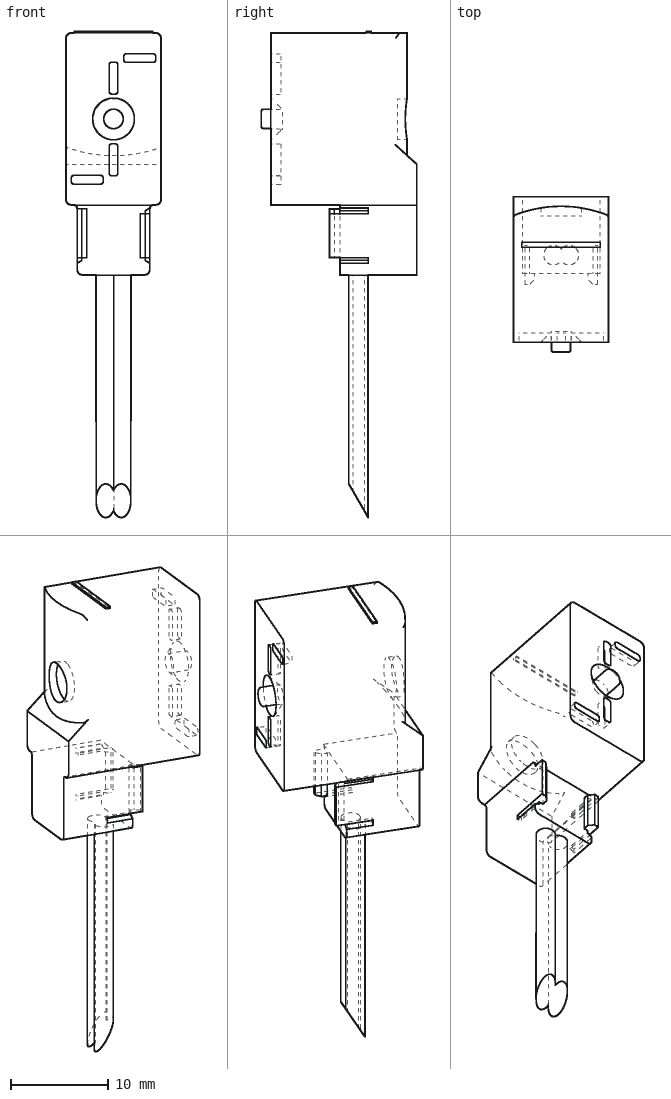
import cadquery as cq
import math


WIDTH = 9.8
DEPTH = 15.0
HEIGHT = 17.7
EDGE_RADIUS = 0.6
BACK_CROWN_Y = 14.0
BACK_DOME_RADIUS = 13.0
DOME_EDGE_RADIUS = 0.4
RAMP_FOOT_Z = -13.5
RAMP_ANGLE = 42.0

RIB_LENGTH = 8.1
RIB_WIDTH = 0.5
RIB_HEIGHT = 0.175
RIB_Y = 10.05

SCREW_Z = -HEIGHT / 2
SCREW_DIAMETER = 2.0
SCREW_TIP_RADIUS = 0.25
SCREW_PROTRUSION = 1.0
SCREW_EMBEDMENT = 2.5
COUNTERSINK_DIAMETER = 4.3
COUNTERSINK_DEPTH = (COUNTERSINK_DIAMETER - SCREW_DIAMETER) / 2
BACK_RECESS_DIAMETER = 4.2
BACK_RECESS_DEPTH = 1.0

SLOT_LENGTH = 3.3
SLOT_WIDTH = 0.9
SLOT_DEPTH = 1.0
SLOT_CORNER_RADIUS = 0.3
UPRIGHT_SLOT_OFFSET = 4.2
LEVEL_SLOT_X = 2.7
LEVEL_SLOT_OFFSET = 6.25

PLUG_WIDTH = 7.5
PLUG_FRONT_Y = 7.1
PLUG_BOTTOM_Z = -24.9
PLUG_EDGE_RADIUS = 0.6
NECK_HEIGHT = 0.4
NECK_FLARE = 0.25

WING_FRONT_Y = 6.0
WING_TOP_Z = -HEIGHT - NECK_HEIGHT
WING_BOTTOM_Z = -23.1
WING_THICKNESS = 1.0
WING_CHAMFER = 0.5
RIGHT_WING_DROP = 0.5

NOTCH_BACK_Y = 10.0
NOTCH_DEPTH = 0.5
NOTCH_INNER_HEIGHT = 0.3
NOTCH_OUTER_HEIGHT = 0.6

CORE_DIAMETER = 2.0
CORE_PITCH = 1.6
CABLE_Y = 9.0
TOTAL_LENGTH = 50.0
CABLE_TIP_Z = RIB_HEIGHT - TOTAL_LENGTH
CABLE_CUT_ANGLE = 60.0


def block(x_min, x_max, y_min, y_max, z_min, z_max):
    return cq.Workplane("XY").box(
        x_max - x_min, y_max - y_min, z_max - z_min, centered=False
    ).translate((x_min, y_min, z_min))


def rod(diameter, length, y_start, z):
    """Cylinder that runs along +Y from y_start."""
    return cq.Workplane("XZ", origin=(0, y_start, z)).circle(diameter / 2).extrude(-length)


def make_housing():
    half = WIDTH / 2
    dome_side_y = BACK_CROWN_Y - BACK_DOME_RADIUS + math.sqrt(BACK_DOME_RADIUS**2 - half**2)
    domed = (
        cq.Workplane("XY")
        .moveTo(-half, 0)
        .lineTo(half, 0)
        .lineTo(half, dome_side_y)
        .threePointArc((0, BACK_CROWN_Y), (-half, dome_side_y))
        .close()
        .extrude(-HEIGHT)
        .edges("|Z and (not <Y)")
        .fillet(DOME_EDGE_RADIUS)
    )
    foot = block(-half, half, 0, DEPTH, -HEIGHT, 0)
    ramp_top_y = DEPTH + RAMP_FOOT_Z / math.tan(math.radians(RAMP_ANGLE))
    above_ramp = (
        cq.Workplane("YZ")
        .polyline([(DEPTH, RAMP_FOOT_Z), (ramp_top_y, 0), (DEPTH, 0)])
        .close()
        .extrude(half, both=True)
    )
    rounded_outline = foot.edges("|Y").fillet(EDGE_RADIUS)
    return foot.cut(above_ramp).union(domed).intersect(rounded_outline)


def make_rib():
    return block(
        -RIB_LENGTH / 2, RIB_LENGTH / 2, RIB_Y - RIB_WIDTH / 2, RIB_Y + RIB_WIDTH / 2, -RIB_HEIGHT, RIB_HEIGHT
    )


def make_front_slots():
    slot_kinds = [
        (SLOT_WIDTH, SLOT_LENGTH, 0, UPRIGHT_SLOT_OFFSET),
        (SLOT_LENGTH, SLOT_WIDTH, LEVEL_SLOT_X, LEVEL_SLOT_OFFSET),
    ]
    slots = cq.Workplane("XY")
    for width, height, x, offset in slot_kinds:
        slot = cq.Workplane("XY").box(width, SLOT_DEPTH, height).edges("|Y").fillet(SLOT_CORNER_RADIUS)
        for side in (1, -1):
            slots = slots.add(slot.translate((side * x, SLOT_DEPTH / 2, SCREW_Z + side * offset)))
    return slots.combine()


def make_screw_recesses():
    countersink = cq.Workplane("XY").add(
        cq.Solid.makeCone(
            COUNTERSINK_DIAMETER / 2,
            SCREW_DIAMETER / 2,
            COUNTERSINK_DEPTH,
            pnt=cq.Vector(0, 0, SCREW_Z),
            dir=cq.Vector(0, 1, 0),
        )
    )
    back_recess = rod(BACK_RECESS_DIAMETER, DEPTH, BACK_CROWN_Y - BACK_RECESS_DEPTH, SCREW_Z)
    return countersink.union(back_recess)


def make_screw():
    return (
        rod(SCREW_DIAMETER, SCREW_PROTRUSION + SCREW_EMBEDMENT, -SCREW_PROTRUSION, SCREW_Z)
        .faces("<Y")
        .edges()
        .fillet(SCREW_TIP_RADIUS)
    )


def make_plug():
    half = PLUG_WIDTH / 2
    body = block(-half, half, PLUG_FRONT_Y, DEPTH, PLUG_BOTTOM_Z, -HEIGHT)
    body = body.faces("<Z").edges("|Y").fillet(PLUG_EDGE_RADIUS)
    neck = (
        cq.Workplane("XZ", origin=(0, PLUG_FRONT_Y, 0))
        .moveTo(-half - NECK_FLARE, -HEIGHT)
        .lineTo(half + NECK_FLARE, -HEIGHT)
        .radiusArc((half, -HEIGHT - NECK_HEIGHT), -NECK_HEIGHT)
        .lineTo(-half, -HEIGHT - NECK_HEIGHT)
        .radiusArc((-half - NECK_FLARE, -HEIGHT), -NECK_HEIGHT)
        .close()
        .extrude(PLUG_FRONT_Y - DEPTH)
    )
    return body.union(neck)


def make_wing(side, top_z):
    outer = side * PLUG_WIDTH / 2
    return (
        cq.Workplane("XY", origin=(0, 0, WING_BOTTOM_Z))
        .polyline([
            (outer, WING_FRONT_Y),
            (outer - side * (WING_THICKNESS - WING_CHAMFER), WING_FRONT_Y),
            (outer - side * WING_THICKNESS, WING_FRONT_Y + WING_CHAMFER),
            (outer - side * WING_THICKNESS, PLUG_FRONT_Y),
            (outer, PLUG_FRONT_Y),
        ])
        .close()
        .extrude(top_z - WING_BOTTOM_Z)
    )


def make_notch(side, wing_edge_z, direction):
    """Notch beside a wing edge; it opens outwards, away from the wing in the given Z direction."""
    outer = side * PLUG_WIDTH / 2
    inner = outer - side * NOTCH_DEPTH
    return (
        cq.Workplane("XZ", origin=(0, PLUG_FRONT_Y, 0))
        .polyline([
            (outer, wing_edge_z),
            (inner, wing_edge_z),
            (inner, wing_edge_z + direction * NOTCH_INNER_HEIGHT),
            (outer, wing_edge_z + direction * NOTCH_OUTER_HEIGHT),
        ])
        .close()
        .extrude(PLUG_FRONT_Y - NOTCH_BACK_Y)
    )


def make_cable():
    core = (
        cq.Workplane("XY", origin=(0, CABLE_Y, CABLE_TIP_Z))
        .circle(CORE_DIAMETER / 2)
        .extrude(PLUG_BOTTOM_Z - CABLE_TIP_Z)
    )
    cable = core.translate((-CORE_PITCH / 2, 0, 0)).union(core.translate((CORE_PITCH / 2, 0, 0)))
    back_y = CABLE_Y + CORE_DIAMETER / 2
    front_y = CABLE_Y - CORE_DIAMETER / 2
    cut_rise = CORE_DIAMETER * math.tan(math.radians(CABLE_CUT_ANGLE))
    slanted_end = (
        cq.Workplane("YZ")
        .polyline([(back_y, CABLE_TIP_Z), (front_y, CABLE_TIP_Z), (front_y, CABLE_TIP_Z + cut_rise)])
        .close()
        .extrude(CORE_PITCH + CORE_DIAMETER, both=True)
    )
    return cable.cut(slanted_end)


result = (
    make_housing()
    .cut(make_front_slots())
    .cut(make_screw_recesses())
    .union(make_rib())
    .union(make_screw())
    .union(make_plug())
    .union(make_wing(-1, WING_TOP_Z))
    .union(make_wing(1, WING_TOP_Z - RIGHT_WING_DROP))
    .cut(make_notch(-1, WING_BOTTOM_Z, -1))
    .cut(make_notch(1, WING_BOTTOM_Z, -1))
    .cut(make_notch(1, WING_TOP_Z - RIGHT_WING_DROP, 1))
    .union(make_cable())
)